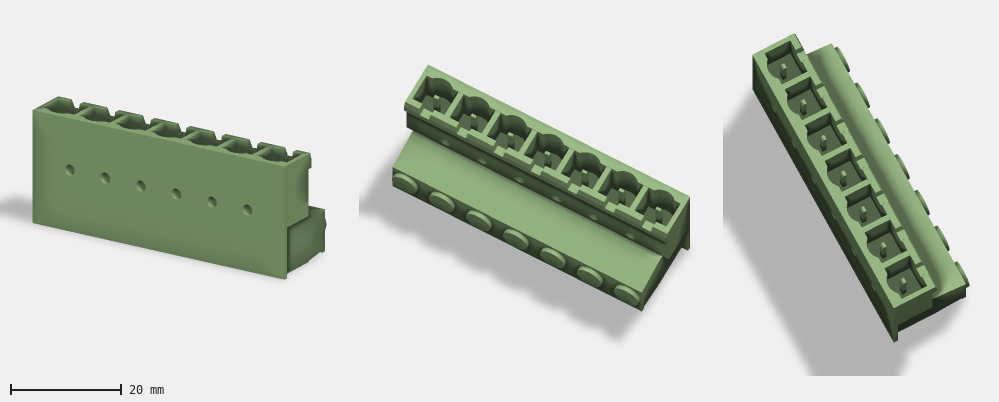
import cadquery as cq

LENGTH = 54.1
HEIGHT = 21.75
POLES = 7
PITCH = 7.6
POLE_XS = [LENGTH / 2 + (i - (POLES - 1) / 2) * PITCH for i in range(POLES)]
GAP_XS = [(left + right) / 2 for left, right in zip(POLE_XS, POLE_XS[1:])]

PLATE_DEPTH = 0.8
HOUSING_DEPTH = 7.95
RIM_DEPTH = 8.85
RIM_TOP_DEPTH = 8.5
RIM_BOTTOM_Z = 18.75
RIM_BEVEL_Z = 20.45

BLOCK_LENGTH = 51.4
BLOCK_DEPTH = 15.5
BLOCK_TOP_Z = 9.8
BLOCK_BACK_TOP_Z = 8.45
BLOCK_SLOPE_Y = 9.05
FOOT_END_Y = 10.05
FOOT_STEP = 0.2
LIP_Y = 14.7
LIP_TOP_Z = 0.85
LIP_BOTTOM_Z = 0.3

SCREW_DIAMETER = 5.05
SCREW_PROJECTION = 0.85
SCREW_Z = 5.25

POCKET_WIDTH = 6.6
POCKET_FRONT_Y = 2.05
POCKET_BACK_Y = 7.3
POCKET_FLOOR_Z = 13.5
DIVIDER_DROP = 0.1
BULGE_WIDTH = 4.2
BULGE_FRONT_Y = 1.15

NOTCH_TOP_WIDTH = 2.5
NOTCH_BOTTOM_WIDTH = 1.85
NOTCH_DEPTH = 1.6

PIN_WIDTH = 1.0
PIN_DEPTH = 0.8
PIN_FRONT_Y = 3.75
PIN_BEVEL_DEPTH = 0.25
PIN_BEVEL_HEIGHT = 0.55
PIN_TOP_Z = 20.1

HOLE_DIAMETER = 2.05
HOLE_Z = 11.8


def extrude_along_x(points, length):
    """Extrude a (Y, Z) outline along X, centred on the part."""
    start = (LENGTH - length) / 2
    return cq.Workplane("YZ").workplane(offset=start).polyline(points).close().extrude(length)


def make_housing():
    return extrude_along_x(
        [
            (0, 0),
            (PLATE_DEPTH, 0),
            (PLATE_DEPTH, BLOCK_TOP_Z),
            (HOUSING_DEPTH, BLOCK_TOP_Z),
            (HOUSING_DEPTH, RIM_BOTTOM_Z),
            (RIM_DEPTH, RIM_BOTTOM_Z),
            (RIM_DEPTH, RIM_BEVEL_Z),
            (RIM_TOP_DEPTH, HEIGHT),
            (0, HEIGHT),
        ],
        LENGTH,
    )


def make_block():
    return extrude_along_x(
        [
            (0, 0),
            (FOOT_END_Y, 0),
            (FOOT_END_Y, FOOT_STEP),
            (LIP_Y, LIP_TOP_Z),
            (LIP_Y, LIP_BOTTOM_Z),
            (BLOCK_DEPTH, LIP_BOTTOM_Z),
            (BLOCK_DEPTH, BLOCK_BACK_TOP_Z),
            (BLOCK_SLOPE_Y, BLOCK_TOP_Z),
            (0, BLOCK_TOP_Z),
        ],
        BLOCK_LENGTH,
    )


def make_screw(x):
    root_y = HOUSING_DEPTH
    length = BLOCK_DEPTH + SCREW_PROJECTION - root_y
    plane = cq.Plane(origin=(x, root_y, SCREW_Z), xDir=(1, 0, 0), normal=(0, 1, 0))
    return cq.Workplane(plane).circle(SCREW_DIAMETER / 2).extrude(length)


def make_pocket(x):
    half = POCKET_WIDTH / 2
    half_bulge = BULGE_WIDTH / 2
    return (
        cq.Workplane("XY")
        .workplane(offset=POCKET_FLOOR_Z)
        .moveTo(x - half, POCKET_BACK_Y)
        .lineTo(x - half, POCKET_FRONT_Y)
        .lineTo(x - half_bulge, POCKET_FRONT_Y)
        .threePointArc((x, BULGE_FRONT_Y), (x + half_bulge, POCKET_FRONT_Y))
        .lineTo(x + half, POCKET_FRONT_Y)
        .lineTo(x + half, POCKET_BACK_Y)
        .close()
        .extrude(HEIGHT - POCKET_FLOOR_Z)
    )


def make_divider_relief(x):
    """Lower the wall between two pockets below the top face."""
    thickness = PITCH - POCKET_WIDTH
    depth = POCKET_BACK_Y - POCKET_FRONT_Y
    return (
        cq.Workplane("XY", origin=(x, POCKET_FRONT_Y + depth / 2, HEIGHT - DIVIDER_DROP))
        .rect(thickness, depth)
        .extrude(DIVIDER_DROP)
    )


def make_notch(x):
    start_y = (POCKET_FRONT_Y + POCKET_BACK_Y) / 2
    plane = cq.Plane(origin=(x, start_y, HEIGHT), xDir=(-1, 0, 0), normal=(0, 1, 0))
    half_top = NOTCH_TOP_WIDTH / 2
    half_bottom = NOTCH_BOTTOM_WIDTH / 2
    return (
        cq.Workplane(plane)
        .polyline([
            (-half_top, 0),
            (half_top, 0),
            (half_bottom, -NOTCH_DEPTH),
            (-half_bottom, -NOTCH_DEPTH),
        ])
        .close()
        .extrude(RIM_DEPTH - start_y)
    )


def make_pin(x):
    back_y = PIN_FRONT_Y + PIN_DEPTH
    plane = cq.Plane(origin=(x - PIN_WIDTH / 2, 0, 0), xDir=(0, 1, 0), normal=(1, 0, 0))
    return (
        cq.Workplane(plane)
        .polyline([
            (PIN_FRONT_Y, BLOCK_TOP_Z),
            (back_y, BLOCK_TOP_Z),
            (back_y, PIN_TOP_Z),
            (PIN_FRONT_Y + PIN_BEVEL_DEPTH, PIN_TOP_Z),
            (PIN_FRONT_Y, PIN_TOP_Z - PIN_BEVEL_HEIGHT),
        ])
        .close()
        .extrude(PIN_WIDTH)
    )


def make_cross_hole(x):
    plane = cq.Plane(origin=(x, 0, HOLE_Z), xDir=(1, 0, 0), normal=(0, 1, 0))
    return cq.Workplane(plane).circle(HOLE_DIAMETER / 2).extrude(HOUSING_DEPTH)


result = make_housing().union(make_block())
for pole_x in POLE_XS:
    result = result.union(make_screw(pole_x))
    result = result.cut(make_pocket(pole_x))
    result = result.cut(make_notch(pole_x))
    result = result.union(make_pin(pole_x))
for gap_x in GAP_XS:
    result = result.cut(make_divider_relief(gap_x))
    result = result.cut(make_cross_hole(gap_x))